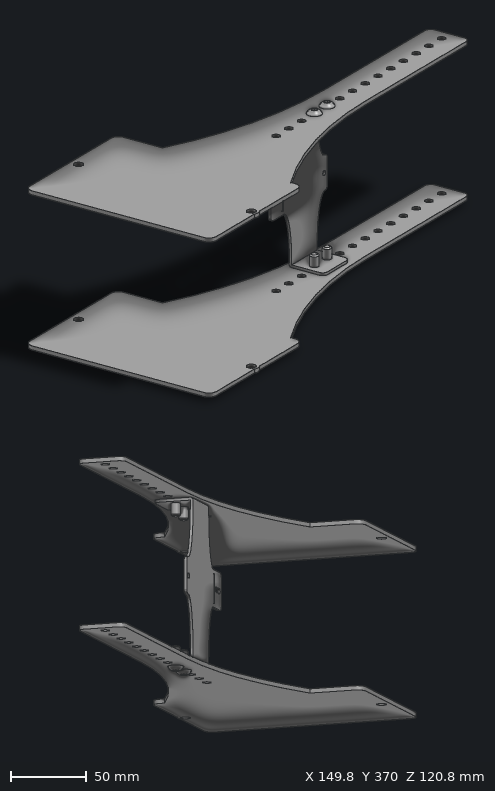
import cadquery as cq
import math


overall_length = 370.0
plate_thickness = 3.0
plate_outer_span = 114.8
base_width = 149.0
base_length = 107.5
base_left_x = -88.3
base_corner_radius = 6.0
arm_width = 33.0
arm_corner_radius = 5.0
flare_radius = 300.0
flare_spread = 34.7
arm_half_width = arm_width / 2
flared_half_width = arm_half_width + flare_spread
flare_start_y = base_length + math.sqrt(flare_radius**2 - (flare_radius - flare_spread) ** 2)

arm_hole_diameter = 5.6
arm_hole_pitch = 15.0
arm_hole_count = 14
arm_hole_tip_margin = 9.2
first_arm_hole_y = overall_length - arm_hole_tip_margin
bolted_holes = (9, 10)
base_hole_diameter = 6.6
base_hole_spacing = 138.0
base_hole_y = base_length / 2
left_hole_margin = 6.5
left_hole_x = base_left_x + left_hole_margin
right_hole_x = left_hole_x + base_hole_spacing
lug_radius = 5.31

bolt_diameter = 6.4
bolt_length = 13.6
bolt_tip_chamfer = 1.0
head_diameter = 10.8
head_flat_diameter = 4.4
head_height = 2.98
socket_across_flats = 3.4
socket_depth = 1.8

sheet_thickness = 2.0
bend_radius = 2.0
bracket_outer_x = -15.0
flange_length = 28.0
flange_corner_radius = 4.0
neck_width = 30.0
wing_height = 25.5
wing_corner_radius = 3.0
flare_ellipse_y = 9.2
flare_ellipse_z = 35.0
bracket_height = plate_outer_span - 2 * plate_thickness
bolt_ys = [first_arm_hole_y - i * arm_hole_pitch for i in bolted_holes]
bracket_y = sum(bolt_ys) / len(bolt_ys)
back_wing_reach = 27.2
front_wing_reach = 39.5
wing_back_y = bracket_y + back_wing_reach
wing_front_y = bracket_y - front_wing_reach
mount_hole_diameter = 3.4
mount_hole_inset = 3.8
mount_hole_y = wing_back_y - mount_hole_inset
mount_slot_length = 9.0
mount_slot_inset = 6.9
mount_slot_y = wing_front_y + mount_slot_inset
narrow_slot_width = 1.0
narrow_slot_length = 20.0
narrow_slot_inset = 14.1
narrow_slot_y = wing_front_y + narrow_slot_inset


def flare_midpoint():
    """Halfway point of a flare arc: distances sideways and along the arm from its tangent point."""
    half_angle = math.acos(1 - flare_spread / flare_radius) / 2
    return flare_radius * (1 - math.cos(half_angle)), flare_radius * math.sin(half_angle)


def make_plate():
    """Wide base with a flared arm; bottom face at Z = 0."""
    mid_out, mid_along = flare_midpoint()
    base = (
        cq.Workplane("XY")
        .rect(base_width, base_length)
        .extrude(plate_thickness)
        .edges("|Z")
        .fillet(base_corner_radius)
        .translate((base_left_x + base_width / 2, base_length / 2, 0))
    )
    arm = (
        cq.Workplane("XY")
        .moveTo(-arm_half_width, overall_length)
        .lineTo(-arm_half_width, flare_start_y)
        .threePointArc(
            (-arm_half_width - mid_out, flare_start_y - mid_along),
            (-flared_half_width, base_length),
        )
        .lineTo(-flared_half_width, base_hole_y)
        .lineTo(flared_half_width, base_hole_y)
        .lineTo(flared_half_width, base_length)
        .threePointArc(
            (arm_half_width + mid_out, flare_start_y - mid_along),
            (arm_half_width, flare_start_y),
        )
        .lineTo(arm_half_width, overall_length)
        .close()
        .extrude(plate_thickness)
        .edges("|Z and >Y")
        .fillet(arm_corner_radius)
    )
    lug = (
        cq.Workplane("XY")
        .center(right_hole_x, base_hole_y)
        .circle(lug_radius)
        .extrude(plate_thickness)
    )
    open_hole_points = [
        (0, first_arm_hole_y - i * arm_hole_pitch)
        for i in range(arm_hole_count)
        if i not in bolted_holes
    ]
    arm_holes = (
        cq.Workplane("XY")
        .pushPoints(open_hole_points)
        .circle(arm_hole_diameter / 2)
        .extrude(plate_thickness)
    )
    base_holes = (
        cq.Workplane("XY")
        .pushPoints([(left_hole_x, base_hole_y), (right_hole_x, base_hole_y)])
        .circle(base_hole_diameter / 2)
        .extrude(plate_thickness)
    )
    return base.union(arm).union(lug).cut(arm_holes).cut(base_holes)


def make_bolt():
    """Button-head socket bolt, axis on Z, underside of the head at Z = 0."""
    head_radius = head_diameter / 2
    flat_radius = head_flat_diameter / 2
    dome_centre_z = (flat_radius**2 + head_height**2 - head_radius**2) / (2 * head_height)
    dome_radius = math.hypot(head_radius, dome_centre_z)
    mid_radius = (head_radius + flat_radius) / 2
    mid_z = dome_centre_z + math.sqrt(dome_radius**2 - mid_radius**2)
    shank_radius = bolt_diameter / 2
    body = (
        cq.Workplane("XZ")
        .moveTo(0, head_height)
        .lineTo(flat_radius, head_height)
        .threePointArc((mid_radius, mid_z), (head_radius, 0))
        .lineTo(shank_radius, 0)
        .lineTo(shank_radius, bolt_tip_chamfer - bolt_length)
        .lineTo(shank_radius - bolt_tip_chamfer, -bolt_length)
        .lineTo(0, -bolt_length)
        .close()
        .revolve(360, (0, 0, 0), (0, 1, 0))
    )
    socket = (
        cq.Workplane("XY")
        .workplane(offset=head_height - socket_depth)
        .polygon(6, socket_across_flats / math.cos(math.pi / 6))
        .extrude(socket_depth)
    )
    return body.cut(socket)


def make_neck_half():
    """Upper half of the bracket web: a straight neck flaring towards the wings in quarter ellipses."""
    flare_half_width = neck_width / 2 + flare_ellipse_y
    flare_top_z = wing_height / 2 + flare_ellipse_z
    plane = cq.Workplane("YZ")
    neck = (
        plane.center(0, bracket_height / 4)
        .rect(neck_width, bracket_height / 2)
        .extrude(sheet_thickness)
    )
    flare = plane.center(0, flare_top_z / 2).rect(2 * flare_half_width, flare_top_z).extrude(sheet_thickness)
    hollows = (
        plane.pushPoints([(-flare_half_width, flare_top_z), (flare_half_width, flare_top_z)])
        .ellipse(flare_ellipse_y, flare_ellipse_z)
        .extrude(sheet_thickness)
    )
    return neck.union(flare.cut(hollows)).translate((bracket_outer_x, bracket_y, 0))


def make_bracket():
    """Bent sheet with a winged web and a flange under each plate."""
    neck = make_neck_half()
    wings = (
        cq.Workplane("YZ")
        .rect(wing_back_y - wing_front_y, wing_height)
        .extrude(sheet_thickness)
        .edges("|X")
        .fillet(wing_corner_radius)
        .translate((bracket_outer_x, (wing_back_y + wing_front_y) / 2, 0))
    )
    flange = (
        cq.Workplane("XY")
        .rect(flange_length, neck_width)
        .extrude(sheet_thickness)
        .edges("|Z and >X")
        .fillet(flange_corner_radius)
        .translate((bracket_outer_x + flange_length / 2, bracket_y, bracket_height / 2 - sheet_thickness))
    )
    upper = neck.union(flange).edges("|Y and >Z and <X").fillet(bend_radius)
    bracket = upper.union(upper.mirror("XY")).union(wings)

    web = cq.Workplane("YZ").workplane(offset=bracket_outer_x)
    mount_hole = web.center(mount_hole_y, 0).circle(mount_hole_diameter / 2).extrude(sheet_thickness)
    mount_slot = (
        web.center(mount_slot_y, 0)
        .slot2D(mount_slot_length, mount_hole_diameter)
        .extrude(sheet_thickness)
    )
    narrow_slot = (
        web.center(narrow_slot_y, 0)
        .rect(narrow_slot_width, narrow_slot_length)
        .extrude(sheet_thickness)
    )
    return bracket.cut(mount_hole).cut(mount_slot).cut(narrow_slot)


def make_upper_side():
    """Upper plate with its bolts."""
    side = make_plate().translate((0, 0, plate_outer_span / 2 - plate_thickness))
    bolt = make_bolt()
    for y in bolt_ys:
        side = side.union(bolt.translate((0, y, plate_outer_span / 2)))
    return side


upper_side = make_upper_side()
result = make_bracket().union(upper_side).union(upper_side.mirror("XY"))